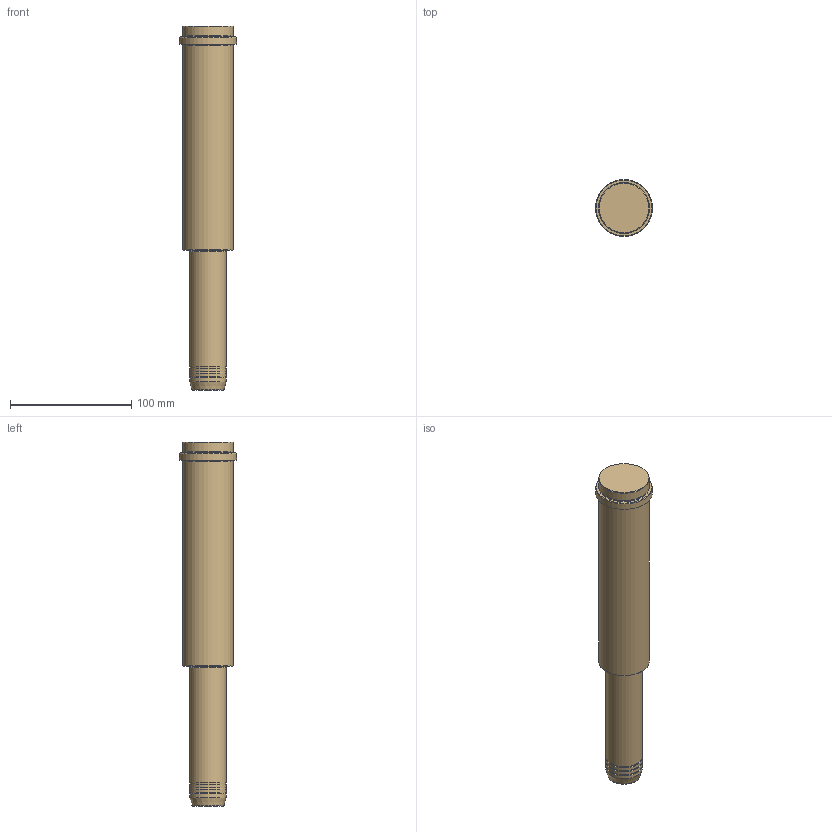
import cadquery as cq
import math

total_length = 300.0
barrel_diameter = 42.0
barrel_length = 185.0
barrel_chamfer = 0.5

collar_diameter = 47.0
collar_height = 6.0
collar_top_offset = 9.0
collar_chamfer = 0.5

rod_diameter = 30.0
tip_height = 7.0
tip_angle = 15.0
tip_fillet = 0.5

groove_radius = 0.5
rod_groove_count = 3
rod_groove_pitch = 4.0
first_rod_groove = 10.5

barrel_radius = barrel_diameter / 2
collar_radius = collar_diameter / 2
rod_radius = rod_diameter / 2
tip_radius = rod_radius - tip_height * math.tan(math.radians(tip_angle))
barrel_bottom = total_length - barrel_length
collar_top = total_length - collar_top_offset
collar_bottom = collar_top - collar_height


def make_cylinder(radius, bottom, height):
    """Upright cylinder on the Z axis."""
    return cq.Workplane("XY").workplane(offset=bottom).circle(radius).extrude(height)


def make_barrel():
    """Barrel with both end rims chamfered."""
    barrel = make_cylinder(barrel_radius, barrel_bottom, barrel_length)
    return barrel.faces("<Z or >Z").chamfer(barrel_chamfer)


def make_collar():
    """Collar with its upper rim chamfered and its lower rim sharp."""
    collar = make_cylinder(collar_radius, collar_bottom, collar_height)
    return collar.faces(">Z").chamfer(collar_chamfer)


def make_rod():
    """Rod from the rounded, tapered tip up to the barrel."""
    outline = [
        (0, 0),
        (tip_radius, 0),
        (rod_radius, tip_height),
        (rod_radius, barrel_bottom),
        (0, barrel_bottom),
    ]
    rod = cq.Workplane("XZ").polyline(outline).close().revolve(360, (0, 0), (0, 1))
    return rod.faces("<Z").fillet(tip_fillet)


def make_groove_cutter(radius, height):
    """Half-round ring that cuts a groove into a cylinder of the given radius."""
    section = (
        cq.Workplane("XZ")
        .moveTo(radius, height - groove_radius)
        .threePointArc((radius - groove_radius, height), (radius, height + groove_radius))
        .close()
    )
    return section.revolve(360, (0, 0), (0, 1))


result = make_rod().union(make_barrel()).union(make_collar())

result = result.cut(make_groove_cutter(rod_radius, barrel_bottom - groove_radius))
result = result.cut(make_groove_cutter(barrel_radius, collar_bottom - groove_radius))
result = result.cut(make_groove_cutter(barrel_radius, collar_top + groove_radius))

for index in range(rod_groove_count):
    groove_height = first_rod_groove + index * rod_groove_pitch
    result = result.cut(make_groove_cutter(rod_radius, groove_height))